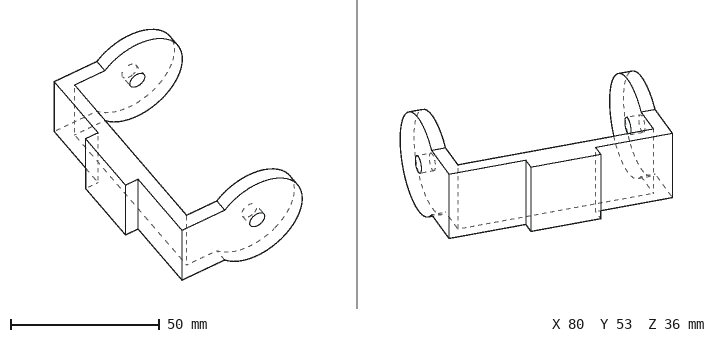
import cadquery as cq

bracket_width = 80.0
wall = 5.0
band_height = 25.0
pad_width = 25.0
pad_thickness = 5.0
ear_diameter = 36.0
pivot_hole_diameter = 6.0
pivot_to_web_face = 30.0

web_face_y = -pivot_to_web_face
left_arm_x = -bracket_width / 2
right_arm_x = bracket_width / 2 - wall


def make_web():
    """Flat wall joining the two arms."""
    return (
        cq.Workplane("XY")
        .box(bracket_width, wall, band_height, centered=(True, False, True))
        .translate((0, web_face_y, 0))
    )


def make_pad():
    """Rectangular pad on the middle of the web's outer face."""
    return (
        cq.Workplane("XY")
        .box(pad_width, pad_thickness, band_height, centered=(True, False, True))
        .translate((0, web_face_y - pad_thickness, 0))
    )


def make_arm(start_x):
    """Arm from the web to a round ear with a pivot hole, starting at start_x."""
    bar = (
        cq.Workplane("XY")
        .box(wall, pivot_to_web_face, band_height, centered=(False, False, True))
        .translate((start_x, web_face_y, 0))
    )
    ear_plane = cq.Workplane("YZ", origin=(start_x, 0, 0))
    ear = ear_plane.circle(ear_diameter / 2).extrude(wall)
    pivot_hole = ear_plane.circle(pivot_hole_diameter / 2).extrude(wall)
    return bar.union(ear).cut(pivot_hole)


result = make_web().union(make_pad())
for arm_x in (left_arm_x, right_arm_x):
    result = result.union(make_arm(arm_x))